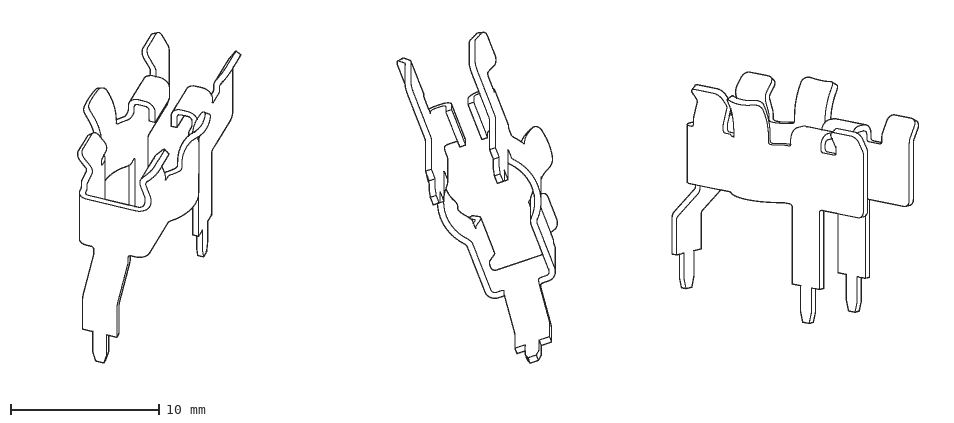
import cadquery as cq
import math

margin = 0.02

sheet = 0.43
bend_radius = 0.3
outer_bend = bend_radius + sheet
tip_round = 0.5
notch_round = 0.19

wall_height = 4.0
half_width = 2.51
front_y = -6.8
rear_y = 9.68
barrel_radius = 3.07
barrel_outer = barrel_radius + sheet

tab_base = 0.47
clip_y, clip_width = -4.47, 2.72
clip_lean_in, clip_lean_out = 20, 40
clip_neck, clip_lip = 0.91, 1.12
hook_y, hook_width = 4.43, 2.75
hook_roof, hook_lip = 0.48, 0.9
guide_width = 2.51
guide_lean, guide_length = 30, 1.34
finger_width = 3.17
finger_spread = math.asin(finger_width / 2 / barrel_outer)
finger_root_width = (2 * barrel_radius + sheet) * math.sin(finger_spread)
finger_lean = 39
finger_reach = 4.3

leg_width = 2.5
shoulder_z = -5.51
leg_tip_z = -8.0
pin_width, pin_tip_width = 1.0, 0.6
pin_taper = 0.75
front_leg_bend_z = -0.48
front_leg_slope = 45
front_leg_y = -8.94


def heading_vector(heading):
    angle = math.radians(heading)
    return cq.Vector(math.cos(angle), math.sin(angle))


def bent_sheet(plane, start, heading, steps):
    """Closed sheet profile; the sheet lies to the left of the path from start.

    Each step is ("straight", length) or ("bend", angle, inside radius),
    with positive angles turning left.
    """
    right = [cq.Vector(*start)]
    left = [right[0] + heading_vector(heading + 90) * sheet]
    edges_right = []
    edges_left = []
    for step in steps:
        if step[0] == "straight":
            move = heading_vector(heading) * step[1]
            ends = (right[-1] + move, left[-1] + move)
            edges_right.append((None, ends[0]))
            edges_left.append((None, left[-1]))
        else:
            turn, radius = step[1:]
            side = math.copysign(90, turn)
            inner_face = left[-1] if turn > 0 else right[-1]
            center = inner_face + heading_vector(heading + side) * radius
            spokes = [heading_vector(heading - side + turn * part) for part in (0.5, 1)]
            radii = (radius + sheet, radius) if turn > 0 else (radius, radius + sheet)
            ends = tuple(center + spokes[1] * reach for reach in radii)
            edges_right.append((center + spokes[0] * radii[0], ends[0]))
            edges_left.append((center + spokes[0] * radii[1], left[-1]))
            heading += turn
        right.append(ends[0])
        left.append(ends[1])

    outline = cq.Workplane(plane).moveTo(right[0].x, right[0].y)
    corner = (None, left[-1])
    for middle, end in edges_right + [corner] + edges_left[::-1]:
        if middle is None:
            outline = outline.lineTo(end.x, end.y)
        else:
            outline = outline.threePointArc((middle.x, middle.y), (end.x, end.y))
    return outline.close()


def half_wall():
    """The +X half: front plate, rounded corner, side plate and barrel bulge."""
    bend_center_x = half_width + bend_radius
    bend_center_distance = barrel_outer + bend_radius
    bulge_angle = math.degrees(math.acos(bend_center_x / bend_center_distance))
    bulge_end_y = bend_center_distance * math.sin(math.radians(bulge_angle))
    steps = [
        ("straight", half_width - outer_bend),
        ("bend", 90, bend_radius),
        ("straight", -bulge_end_y - front_y - outer_bend),
        ("bend", -bulge_angle, bend_radius),
        ("bend", bulge_angle, barrel_radius),
        ("bend", bulge_angle, barrel_radius),
        ("bend", -bulge_angle, bend_radius),
        ("straight", rear_y - bulge_end_y),
    ]
    wall = bent_sheet("XY", (0, front_y), 0, steps).extrude(wall_height)
    return wall.edges("|X and >Y and <Z").fillet(tip_round)


def side_tab(center_y, width, steps):
    start = (half_width, wall_height)
    steps = [("straight", tab_base)] + steps
    tab = bent_sheet("XZ", start, 90, steps).extrude(width / 2, both=True)
    return tab.translate((0, center_y, 0))


def round_tip(tab, lean):
    """Round the end corners of a tab whose end leans outwards."""
    across = heading_vector(180 - lean)
    corners = cq.selectors.ParallelDirSelector(cq.Vector(across.x, 0, across.y))
    return tab.edges(corners).fillet(tip_round)


def clip_tab():
    steps = [
        ("bend", clip_lean_in, bend_radius),
        ("straight", clip_neck),
        ("bend", -clip_lean_in - clip_lean_out, bend_radius),
        ("straight", clip_lip),
    ]
    return round_tip(side_tab(clip_y, clip_width, steps), clip_lean_out)


def hook_tab():
    steps = [
        ("bend", 90, bend_radius),
        ("straight", hook_roof),
        ("bend", 90, bend_radius),
        ("straight", hook_lip),
    ]
    return side_tab(hook_y, hook_width, steps)


def guide_tab():
    steps = [("bend", -guide_lean, bend_radius), ("straight", guide_length)]
    tab = side_tab(rear_y - guide_width / 2, guide_width, steps)
    return round_tip(tab, guide_lean)


def flared_finger():
    """Barrel wall carried upwards, then rolled outwards about an axis along Y."""
    lean = math.radians(finger_lean)
    flare_radius = (finger_reach - barrel_outer) / (1 - math.cos(lean))
    spread = math.degrees(finger_spread)
    steps = [("bend", 2 * spread, barrel_radius)]
    start = (barrel_outer * math.cos(finger_spread), -barrel_outer * math.sin(finger_spread))
    base = bent_sheet("XY", start, 90 - spread, steps).extrude(tab_base)
    axis_x = barrel_outer + flare_radius
    section = bent_sheet("XY", start, 90 - spread, steps)
    flare = section.revolve(finger_lean, (axis_x, -0.19, 0), (axis_x, 0.19, 0))
    flare = flare.translate((0, 0, tab_base))
    tip = cq.selectors.DirectionMinMaxSelector(cq.Vector(math.sin(lean), 0, math.cos(lean)))
    flare = flare.faces(tip).edges("%LINE").fillet(tip_round)
    return base.union(flare).translate((0, 0, wall_height))


def pin_outline(plane):
    """Outline of the tapered pin that hangs from the shoulder of a leg."""
    taper_z = leg_tip_z + pin_taper
    half = [
        (pin_width / 2, shoulder_z),
        (pin_width / 2, taper_z),
        (pin_tip_width / 2, leg_tip_z),
    ]
    other_half = [(-x, z) for x, z in half[::-1]]
    return cq.Workplane(plane).polyline(half + other_half).close()


def side_leg():
    wide = cq.Workplane("YZ").center(0, shoulder_z / 2).rect(leg_width, -shoulder_z).extrude(sheet)
    leg = wide.union(pin_outline("YZ").extrude(sheet))
    return leg.translate((half_width - sheet, hook_y, 0))


def front_leg():
    slope = math.radians(front_leg_slope)
    drift = (bend_radius + outer_bend) * (1 - math.cos(slope))
    ramp = (front_y - front_leg_y - drift) / math.sin(slope)
    drop = (bend_radius + outer_bend) * math.sin(slope) + ramp * math.cos(slope)
    steps = [
        ("straight", -front_leg_bend_z),
        ("bend", -front_leg_slope, bend_radius),
        ("straight", ramp),
        ("bend", front_leg_slope, bend_radius),
        ("straight", front_leg_bend_z - drop - shoulder_z),
    ]
    wide = bent_sheet("YZ", (front_y, 0), -90, steps).extrude(leg_width / 2, both=True)
    pin = pin_outline("XZ").extrude(sheet).translate((0, front_leg_y + sheet, 0))
    return wide.union(pin)


def fillet_notches(body, low, high):
    """Fillet the straight edges whose centres lie between two points."""
    zone = cq.selectors.BoxSelector(low, high)
    return body.edges("%LINE").edges(zone).fillet(notch_round)


def fillet_side_notches(half):
    """Fillet the tab and leg roots of one side plate."""
    notches = [(rear_y - guide_width, wall_height)]
    for center_y, width, z in (
        (clip_y, clip_width, wall_height),
        (0, finger_root_width, wall_height),
        (hook_y, hook_width, wall_height),
        (hook_y, leg_width, 0),
    ):
        notches += [(center_y - width / 2, z), (center_y + width / 2, z)]
    for y, z in notches:
        low = (0, y - margin, z - margin)
        high = (finger_reach, y + margin, z + margin)
        half = fillet_notches(half, low, high)
    return half


def fillet_front_notches(body):
    """Fillet the root of the front leg under the front plate."""
    middle_y = front_y + sheet / 2
    for x in (-leg_width / 2, leg_width / 2):
        low = (x - margin, middle_y - margin, -margin)
        high = (x + margin, middle_y + margin, margin)
        body = fillet_notches(body, low, high)
    return body


half = half_wall()
for feature in (clip_tab(), hook_tab(), guide_tab(), flared_finger(), side_leg()):
    half = half.union(feature)
half = fillet_side_notches(half)

clip = half.union(half.mirror("YZ")).union(front_leg())
result = fillet_front_notches(clip)